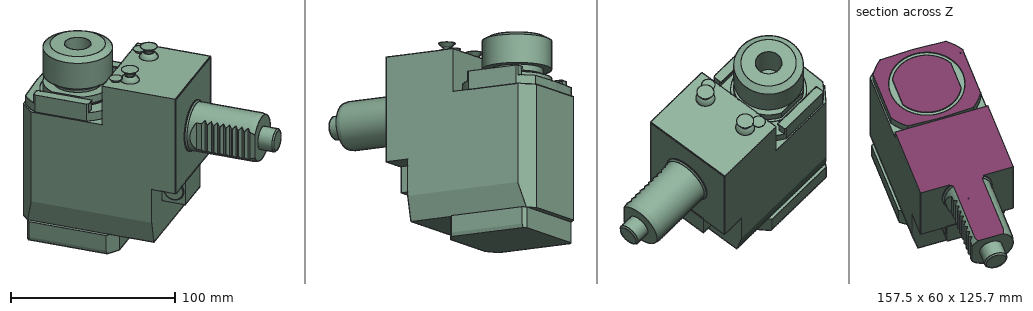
import cadquery as cq
import math


WIDTH = 60.0
BODY_BOTTOM = 12.9
BODY_TOP = 116.4
LEDGE_HEIGHT = 89.8
LEDGE_END = 54.7
FOOT_END = 87.0
BODY_END = 102.2
OVERHANG_HEIGHT = 51.2
CORNER_CHAMFER = 8.3
TAPER_HEIGHT = 15.1
TAPER_INSET = 3.8
PAD_THICKNESS = 0.5
PAD_MARGIN = 0.3

BLOCK_BOTTOM = 35.0
BLOCK_WIDTH = 25.2
SCREW_X = 94.7
SCREW_Z = 43.6
SCREW_RADIUS = 6.6
SCREW_HEAD = 0.6
SCREW_CHAMFER = 0.5

COVER_START = 4.3
COVER_END = 62.2
COVER_WIDTH = 56.7
COVER_START_CHAMFER = (2.0, 2.5)
COVER_END_CHAMFER = (5.7, 7.9)
COVER_EDGE_INSET = 0.6
COVER_EDGE_HEIGHT = 2.2

SPINDLE_X = 27.2
PLATE_TOP = 95.5
PLATE_WIDTH = 58.0
PLATE_RADIUS = 33.5
PLATE_HALF_LENGTH = 26.0
PLATE_BULGE = 26.8
BULGE_FLAT = 4.1
BAR_LENGTH = 35.9
BAR_INNER = 24.0
BAR_TOP = 101.5
LIP_REACH = 1.1
LIP_THICKNESS = 1.0

RING_RADIUS = 23.2
RING_DEPTH = 0.5
DISC_RADIUS = 21.3
DISC_FLATS = 37.8
DISC_TOP = 100.0
NECK_RADIUS = 15.1
COLLAR_RADIUS = 16.0
COLLAR_BOTTOM = 102.0
NUT_RADIUS = 21.3
NUT_BOTTOM = 105.7
NUT_TOP = 125.7
NUT_FACE_RADIUS = 16.9
NUT_CHAMFER_HEIGHT = 2.4
BORE_RADIUS = 8.0

SHANK_Z = 83.5
SHANK_RADIUS = 15.1
SHANK_SHOULDER_RADIUS = 16.0
SHOULDER_LENGTH = 0.6
SHOULDER_CONE = 1.0
SHANK_TAPER_START = 144.5
SHANK_END = 147.4
SHANK_END_RADIUS = 14.5
PILOT_RADIUS = 7.2
PILOT_CHAMFER = 1.0
TOTAL_LENGTH = 157.5

FLAT_OFFSET = 12.1
FLAT_START = 109.1
TOOTH_COUNT = 8
TOOTHING_LENGTH = 28.0
FIRST_GROOVE_X = 114.3
GROOVE_DEPTH = 1.5
GROOVE_HALF_WIDTH = 1.7

NOZZLE_X = 67.4
NOZZLE_Y = 16.0
BALL_BASE_RADIUS = 5.8
BALL_TOP_RADIUS = 3.2
BALL_HEIGHT = 3.2
NOZZLE_NECK_RADIUS = 2.5
NOZZLE_NECK_TOP = 4.4
NOZZLE_RIM_RADIUS = 5.2
NOZZLE_HEIGHT = 7.1
PLUG_X = 59.8
PLUG_Y = 20.3
PLUG_BASE_RADIUS = 2.7
PLUG_RIM_RADIUS = 4.1
PLUG_HEIGHT = 1.9


def box(x_start, x_end, y_start, y_end, z_start, z_end):
    """Box given by its limits along the three axes."""
    size = (x_end - x_start, y_end - y_start, z_end - z_start)
    return cq.Workplane("XY").box(*size, centered=False).translate((x_start, y_start, z_start))


def disc(radius, z_start, z_end):
    """Cylinder on the spindle axis."""
    return cq.Workplane("XY", origin=(SPINDLE_X, 0, z_start)).circle(radius).extrude(z_end - z_start)


def make_body():
    """Stepped block with chamfered corners, tapered foot and a thin end pad."""
    side = [
        (0, BODY_BOTTOM),
        (FOOT_END, BODY_BOTTOM),
        (FOOT_END, OVERHANG_HEIGHT),
        (BODY_END, OVERHANG_HEIGHT),
        (BODY_END, BODY_TOP),
        (LEDGE_END, BODY_TOP),
        (LEDGE_END, LEDGE_HEIGHT),
        (0, LEDGE_HEIGHT),
    ]
    body = cq.Workplane("XZ").polyline(side).close().extrude(WIDTH / 2, both=True)
    body = body.edges("|Z and <X").chamfer(CORNER_CHAMFER)
    half = WIDTH / 2
    for sign in (1, -1):
        wedge = [
            (sign * half, BODY_BOTTOM + TAPER_HEIGHT),
            (sign * half, BODY_BOTTOM),
            (sign * (half - TAPER_INSET), BODY_BOTTOM),
        ]
        body = body.cut(cq.Workplane("YZ").polyline(wedge).close().extrude(BODY_END))
    pad_y = half - PAD_MARGIN
    pad = box(BODY_END, BODY_END + PAD_THICKNESS, -pad_y, pad_y, OVERHANG_HEIGHT, BODY_TOP - PAD_MARGIN)
    return body.union(pad)


def make_adjusting_block():
    """Block behind the foot with a screw head standing slightly out of its side."""
    half = BLOCK_WIDTH / 2
    block = box(FOOT_END, BODY_END, -half, half, BLOCK_BOTTOM, OVERHANG_HEIGHT)
    head = (
        cq.Workplane("XZ", origin=(SCREW_X, -half, SCREW_Z))
        .circle(SCREW_RADIUS)
        .extrude(SCREW_HEAD)
        .faces("<Y")
        .chamfer(SCREW_CHAMFER)
    )
    return block.union(head)


def make_bottom_cover():
    """Cover plate under the foot, bevelled along its lower long edges."""
    half = COVER_WIDTH / 2
    start_x, start_y = COVER_START_CHAMFER
    end_x, end_y = COVER_END_CHAMFER
    outline = [(COVER_START, half - start_y), (COVER_START + start_x, half)]
    outline += [(COVER_END - end_x, half), (COVER_END, half - end_y)]
    outline += [(x, -y) for x, y in reversed(outline)]
    cover = cq.Workplane("XY").polyline(outline).close().extrude(BODY_BOTTOM)
    section = [
        (half - COVER_EDGE_INSET, 0),
        (half, COVER_EDGE_HEIGHT),
        (half, BODY_BOTTOM),
    ]
    section += [(-y, z) for y, z in reversed(section)]
    return cover.intersect(cq.Workplane("YZ").polyline(section).close().extrude(COVER_END))


def make_plate():
    """Round-cornered plate on the ledge with two lipped guide bars and a ring recess."""
    half = PLATE_WIDTH / 2
    side_y = math.sqrt(PLATE_RADIUS**2 - PLATE_HALF_LENGTH**2)
    quarter = [(PLATE_HALF_LENGTH, half), (PLATE_HALF_LENGTH, side_y), (PLATE_BULGE, BULGE_FLAT / 2)]
    outline = quarter + [(x, -y) for x, y in reversed(quarter)]
    outline += [(-x, y) for x, y in reversed(outline)]
    base = cq.Workplane("XY", origin=(SPINDLE_X, 0, LEDGE_HEIGHT))
    blank = base.polyline(outline).close().extrude(BAR_TOP - LEDGE_HEIGHT)
    blank = blank.intersect(disc(PLATE_RADIUS, LEDGE_HEIGHT, BAR_TOP))

    bar_start = SPINDLE_X - BAR_LENGTH / 2
    bar_end = bar_start + BAR_LENGTH
    allowed = box(0, LEDGE_END, -half, half, LEDGE_HEIGHT, PLATE_TOP)
    bar = box(bar_start, bar_end, BAR_INNER, half, PLATE_TOP, BAR_TOP)
    lip = box(bar_start, bar_end, BAR_INNER - LIP_REACH, half, BAR_TOP - LIP_THICKNESS, BAR_TOP)
    bar = bar.union(lip)
    allowed = allowed.union(bar).union(bar.mirror("XZ"))
    return blank.intersect(allowed).cut(disc(RING_RADIUS, PLATE_TOP - RING_DEPTH, PLATE_TOP))


def make_spindle():
    """Flatted disc, stepped neck and bored clamping nut."""
    flats = box(0, LEDGE_END, -DISC_FLATS / 2, DISC_FLATS / 2, LEDGE_HEIGHT, DISC_TOP)
    nose = disc(DISC_RADIUS, LEDGE_HEIGHT, DISC_TOP).intersect(flats)
    nose = nose.union(disc(NECK_RADIUS, DISC_TOP, COLLAR_BOTTOM))
    nose = nose.union(disc(COLLAR_RADIUS, COLLAR_BOTTOM, NUT_BOTTOM))
    nut_profile = [
        (0, NUT_BOTTOM),
        (NUT_RADIUS, NUT_BOTTOM),
        (NUT_RADIUS, NUT_TOP - NUT_CHAMFER_HEIGHT),
        (NUT_FACE_RADIUS, NUT_TOP),
        (0, NUT_TOP),
    ]
    nut = cq.Workplane("XZ").polyline(nut_profile).close().revolve(360, (0, 0), (0, 1))
    nose = nose.union(nut.translate((SPINDLE_X, 0, 0)))
    return nose.cut(disc(BORE_RADIUS, NUT_BOTTOM, NUT_TOP))


def make_shank():
    """Turned shank with a toothed flat on its -Y side and a pilot at the tip."""
    shoulder = BODY_END + PAD_THICKNESS
    profile = [
        (BODY_END, 0),
        (BODY_END, SHANK_SHOULDER_RADIUS),
        (shoulder + SHOULDER_LENGTH, SHANK_SHOULDER_RADIUS),
        (shoulder + SHOULDER_LENGTH + SHOULDER_CONE, SHANK_RADIUS),
        (SHANK_TAPER_START, SHANK_RADIUS),
        (SHANK_END, SHANK_END_RADIUS),
        (SHANK_END, PILOT_RADIUS),
        (TOTAL_LENGTH - PILOT_CHAMFER, PILOT_RADIUS),
        (TOTAL_LENGTH, PILOT_RADIUS - PILOT_CHAMFER),
        (TOTAL_LENGTH, 0),
    ]
    shank = cq.Workplane("XY").polyline(profile).close().revolve(360, (0, 0), (1, 0))

    runout = SHANK_SHOULDER_RADIUS - FLAT_OFFSET
    cutter_profile = [
        (FLAT_START, -FLAT_OFFSET),
        (FLAT_START - runout, -SHANK_SHOULDER_RADIUS),
        (SHANK_END, -SHANK_SHOULDER_RADIUS),
        (SHANK_END, -FLAT_OFFSET),
    ]
    cutter = cq.Workplane("XY").polyline(cutter_profile).close().extrude(SHANK_RADIUS, both=True)
    tooth_pitch = TOOTHING_LENGTH / (TOOTH_COUNT - 1)
    for index in range(TOOTH_COUNT):
        x = FIRST_GROOVE_X + index * tooth_pitch
        groove = [
            (x - GROOVE_HALF_WIDTH, -FLAT_OFFSET),
            (x, GROOVE_DEPTH - FLAT_OFFSET),
            (x + GROOVE_HALF_WIDTH, -FLAT_OFFSET),
        ]
        groove_cutter = cq.Workplane("XY").polyline(groove).close().extrude(SHANK_RADIUS, both=True)
        cutter = cutter.union(groove_cutter)
    return shank.cut(cutter).translate((0, 0, SHANK_Z))


def make_nozzle():
    """Ball nozzle with a flared head, standing on Z = 0."""
    centre_depth = (BALL_BASE_RADIUS**2 - BALL_TOP_RADIUS**2 - BALL_HEIGHT**2) / (2 * BALL_HEIGHT)
    ball_radius = math.hypot(BALL_BASE_RADIUS, centre_depth)
    middle_z = BALL_HEIGHT / 2
    middle_radius = math.sqrt(ball_radius**2 - (middle_z + centre_depth) ** 2)
    return (
        cq.Workplane("XZ")
        .lineTo(BALL_BASE_RADIUS, 0)
        .threePointArc((middle_radius, middle_z), (BALL_TOP_RADIUS, BALL_HEIGHT))
        .lineTo(NOZZLE_NECK_RADIUS, BALL_HEIGHT)
        .lineTo(NOZZLE_NECK_RADIUS, NOZZLE_NECK_TOP)
        .lineTo(NOZZLE_RIM_RADIUS, NOZZLE_HEIGHT)
        .lineTo(0, NOZZLE_HEIGHT)
        .close()
        .revolve(360, (0, 0), (0, 1))
    )


def make_plug():
    """Flared plug standing on Z = 0."""
    profile = [(0, 0), (PLUG_BASE_RADIUS, 0), (PLUG_RIM_RADIUS, PLUG_HEIGHT), (0, PLUG_HEIGHT)]
    return cq.Workplane("XZ").polyline(profile).close().revolve(360, (0, 0), (0, 1))


result = make_body()
for feature in (make_adjusting_block(), make_bottom_cover(), make_plate(), make_spindle(), make_shank()):
    result = result.union(feature)
for side in (1, -1):
    result = result.union(make_nozzle().translate((NOZZLE_X, side * NOZZLE_Y, BODY_TOP)))
    result = result.union(make_plug().translate((PLUG_X, side * PLUG_Y, BODY_TOP)))